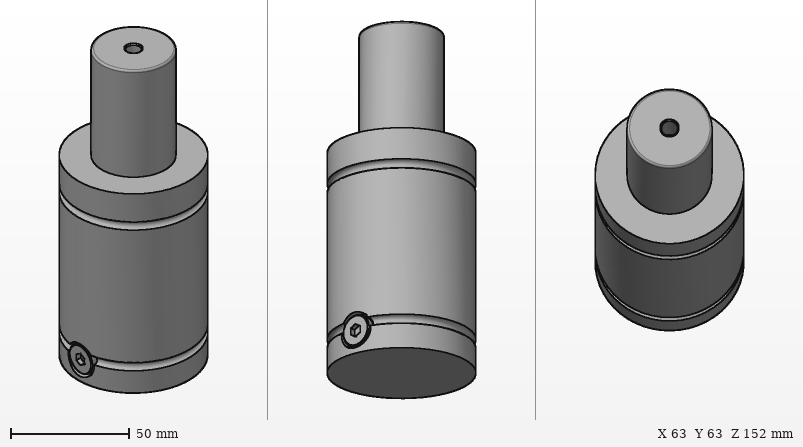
import cadquery as cq
import math

BODY_DIAMETER = 63.0
BODY_HEIGHT = 99.0
BODY_RADIUS = BODY_DIAMETER / 2

TOTAL_HEIGHT = 152.0
ROD_DIAMETER = 36.0
ROD_EDGE_FILLET = 1.0

TAP_DRILL_DIAMETER = 6.8
THREAD_DIAMETER = 8.0
TAP_DRILL_DEPTH = 16.0
DRILL_POINT_ANGLE = 118.0

GROOVE_RADIUS = 2.0
GROOVE_HEIGHTS = (13.1, 83.0)

PLUG_HEIGHT = 10.5
POCKET_DIAMETER = 16.0
POCKET_DEPTH = 4.0
PLUG_DIAMETER = 14.0
PLUG_EDGE_CHAMFER = 0.5
PLUG_FACE_RECESS = 0.5
HEX_ACROSS_FLATS = 5.0
HEX_DEPTH = 2.5


def make_cylinder_and_rod():
    body = cq.Workplane("XY").circle(BODY_RADIUS).extrude(BODY_HEIGHT)
    rod = cq.Workplane("XY").circle(ROD_DIAMETER / 2).extrude(TOTAL_HEIGHT)
    rod = rod.faces(">Z").edges().fillet(ROD_EDGE_FILLET)
    return body.union(rod)


def make_groove(height):
    """Ring of round section centred on the body surface."""
    section = cq.Workplane("XZ").center(BODY_RADIUS, height).circle(GROOVE_RADIUS)
    return section.revolve(360, (-BODY_RADIUS, 0), (-BODY_RADIUS, 1))


def make_rod_hole():
    """Drilled hole with a 45 degree countersink up to the thread diameter."""
    drill_radius = TAP_DRILL_DIAMETER / 2
    thread_radius = THREAD_DIAMETER / 2
    countersink_bottom = TOTAL_HEIGHT - (thread_radius - drill_radius)
    drill_bottom = TOTAL_HEIGHT - TAP_DRILL_DEPTH
    point_height = drill_radius / math.tan(math.radians(DRILL_POINT_ANGLE / 2))
    half_section = [
        (0, TOTAL_HEIGHT),
        (thread_radius, TOTAL_HEIGHT),
        (drill_radius, countersink_bottom),
        (drill_radius, drill_bottom),
        (0, drill_bottom - point_height),
    ]
    return cq.Workplane("XZ").polyline(half_section).close().revolve(360, (0, 0), (0, 1))


def plug_plane(depth):
    """Plane facing -Y, centred on the plug, at a depth below the body surface."""
    return cq.Workplane("XZ", origin=(0, depth - BODY_RADIUS, PLUG_HEIGHT))


def make_plug_pocket():
    return plug_plane(POCKET_DEPTH).circle(POCKET_DIAMETER / 2).extrude(POCKET_DEPTH)


def make_plug():
    plug_length = POCKET_DEPTH - PLUG_FACE_RECESS
    plug = plug_plane(POCKET_DEPTH).circle(PLUG_DIAMETER / 2).extrude(plug_length)
    return plug.faces("<Y").edges().chamfer(PLUG_EDGE_CHAMFER)


def make_hex_socket():
    """Hexagon with two corners pointing up and down."""
    across_corners = HEX_ACROSS_FLATS / math.cos(math.radians(30))
    face = plug_plane(PLUG_FACE_RECESS).transformed(rotate=(0, 0, 90))
    return face.polygon(6, across_corners).extrude(-HEX_DEPTH)


result = make_cylinder_and_rod()
for groove_height in GROOVE_HEIGHTS:
    result = result.cut(make_groove(groove_height))
result = result.cut(make_rod_hole())

result = result.cut(make_plug_pocket())
result = result.union(make_plug())
result = result.cut(make_hex_socket())